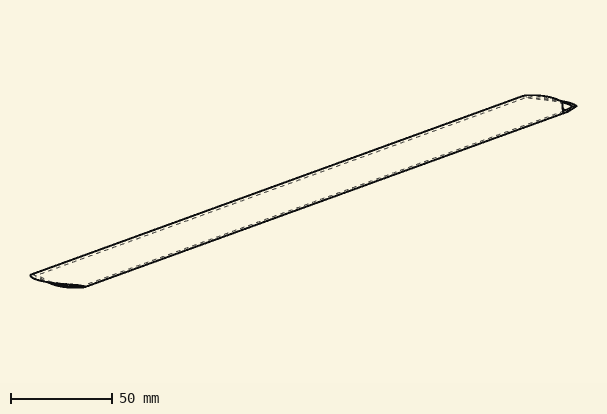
import cadquery as cq

TUBE_DIAMETER = 15.0
WALL = 1.2
RAIL_RADIUS = 12.5

HALF_SPAN_X = 156.2
HALF_SPAN_Y = 32.2
HALF_SPAN_Z = 75.5
CENTRE_X = 2.3

NOTCH_RADIUS = 7.0
NOTCH_BOTTOM_X = 144.5
NOTCH_CENTRE_Y = 27.8

centre = cq.Vector(CENTRE_X, 0, 0)
half_span = cq.Vector(HALF_SPAN_X, HALF_SPAN_Y, HALF_SPAN_Z)
upper_joint = centre + half_span
lower_joint = centre - half_span
tube_axis = upper_joint - lower_joint


def make_tube():
    """Tube running from rail axis to rail axis."""
    section = cq.Workplane(cq.Plane(origin=lower_joint, normal=tube_axis))
    outer_radius = TUBE_DIAMETER / 2
    return section.circle(outer_radius).circle(outer_radius - WALL).extrude(tube_axis.Length)


def make_rail(joint):
    """Round cutter parallel to X, centred on a joint."""
    section = cq.Workplane("YZ").center(joint.y, joint.z)
    return section.circle(RAIL_RADIUS).extrude(tube_axis.Length, both=True)


def make_notch():
    """Upright round cutter, scooping the upper tip from its +X side."""
    notch_centre_x = NOTCH_BOTTOM_X + NOTCH_RADIUS
    section = cq.Workplane("XY").center(notch_centre_x, NOTCH_CENTRE_Y)
    return section.circle(NOTCH_RADIUS).extrude(upper_joint.z)


tube = make_tube()
for joint in (lower_joint, upper_joint):
    tube = tube.cut(make_rail(joint))
tube = tube.cut(make_notch())

result = cq.Workplane(max(tube.solids().vals(), key=lambda solid: solid.Volume()))